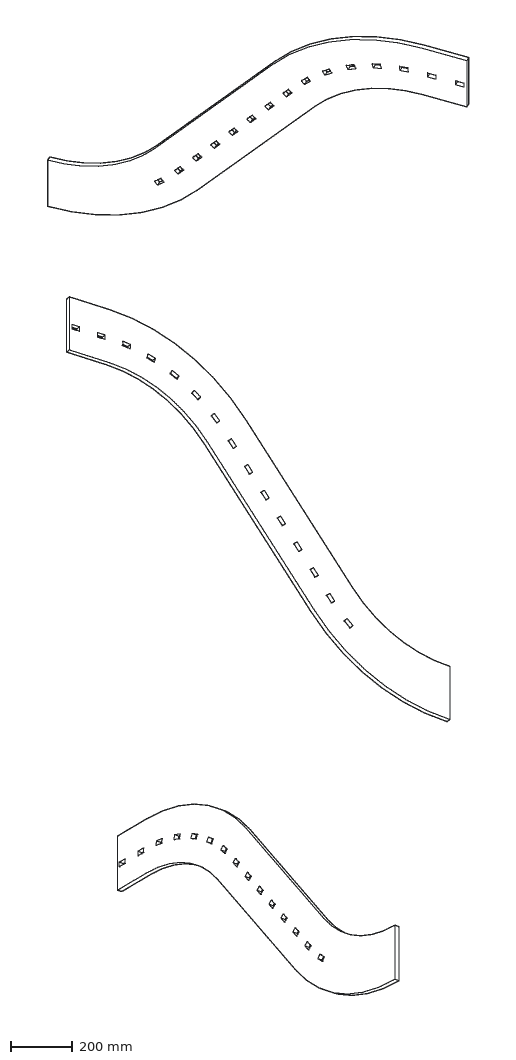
import cadquery as cq
import math

overall_length = 1497.0
overall_height = 1127.0
thickness = 18.0
band_width = 199.0
bend_radius = 600.0
bend_angle = 50.0

slot_length = 30.0
slot_width = 16.0
slot_count = 15
slot_pitch = 100.0
first_slot_to_end = 25.0
slot_line_offset = 9.0

angle = math.radians(bend_angle)
bend_rise = bend_radius * (1 - math.cos(angle))
bend_run = bend_radius * math.sin(angle)
straight_length = (overall_height - band_width - 2 * bend_rise) / math.sin(angle)
end_length = overall_length - 2 * bend_run - straight_length * math.cos(angle)

lower_center = (0, band_width / 2 + bend_radius)
upper_center = (overall_length - end_length, overall_height - band_width / 2 - bend_radius)


def lower_bend_point(radius, slope):
    """Point of the lower bend where the band has the given slope (radians)."""
    x, z = lower_center
    return x + radius * math.sin(slope), z - radius * math.cos(slope)


def upper_bend_point(radius, slope):
    """Point of the upper bend where the band has the given slope (radians)."""
    x, z = upper_center
    return x - radius * math.sin(slope), z + radius * math.cos(slope)


def make_band():
    """S-shaped flat band, centred on Y = 0."""
    inner = bend_radius - band_width / 2
    outer = bend_radius + band_width / 2
    return (
        cq.Workplane("XZ")
        .moveTo(*lower_bend_point(outer, 0))
        .threePointArc(lower_bend_point(outer, angle / 2), lower_bend_point(outer, angle))
        .lineTo(*upper_bend_point(inner, angle))
        .threePointArc(upper_bend_point(inner, angle / 2), upper_bend_point(inner, 0))
        .lineTo(overall_length, overall_height - band_width)
        .lineTo(overall_length, overall_height)
        .lineTo(*upper_bend_point(outer, 0))
        .threePointArc(upper_bend_point(outer, angle / 2), upper_bend_point(outer, angle))
        .lineTo(*lower_bend_point(inner, angle))
        .threePointArc(lower_bend_point(inner, angle / 2), lower_bend_point(inner, 0))
        .close()
        .extrude(thickness / 2, both=True)
    )


def slot_place(distance):
    """Position and slope (radians) of a slot, at a centreline distance from the upper right end."""
    upper_radius = bend_radius - slot_line_offset
    lower_radius = bend_radius + slot_line_offset
    if distance < end_length:
        x, z = upper_bend_point(upper_radius, 0)
        return x + end_length - distance, z, 0

    distance -= end_length
    if distance < bend_radius * angle:
        slope = distance / bend_radius
        return *upper_bend_point(upper_radius, slope), slope

    distance -= bend_radius * angle
    if distance < straight_length:
        x, z = upper_bend_point(upper_radius, angle)
        return x - distance * math.cos(angle), z - distance * math.sin(angle), angle

    distance -= straight_length
    slope = angle - distance / bend_radius
    return *lower_bend_point(lower_radius, slope), slope


def make_slot(distance):
    """Rectangular through-slot cutter aligned with the band."""
    x, z, slope = slot_place(distance)
    return (
        cq.Workplane("XZ")
        .rect(slot_length, slot_width)
        .extrude(thickness, both=True)
        .rotate((0, 0, 0), (0, 1, 0), -math.degrees(slope))
        .translate((x, 0, z))
    )


result = make_band()
for index in range(slot_count):
    result = result.cut(make_slot(first_slot_to_end + index * slot_pitch))